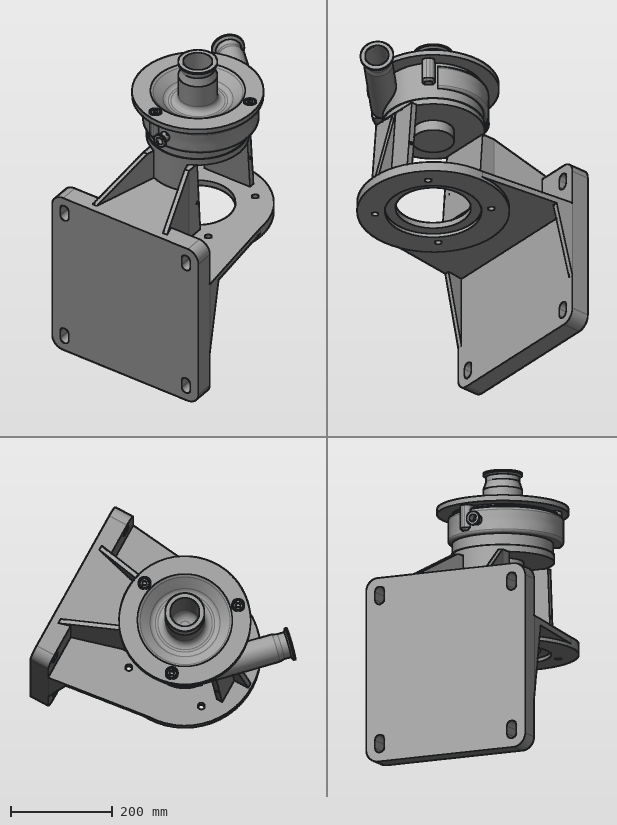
import cadquery as cq
import math


plate_width = 350.0
plate_height = 370.0
plate_back = -251.0
plate_thickness = 40.0
plate_corner_radius = 26.0
plate_front = plate_back + plate_thickness
slot_spacing_x = 290.5
slot_spacing_z = 298.5
slot_length = 35.5
slot_width = 20.0

shelf_top = 270.5
shelf_thickness = 13.0
ring_thickness = 8.0
ring_radius = 150.0
shelf_hole_radius = 74.5
ring_hole_radius = 95.0
motor_bolt_count = 4
motor_bolt_start_angle = 45.0
motor_bolt_circle_radius = 115.0
motor_bolt_radius = 7.0
shelf_bottom = shelf_top - shelf_thickness
ring_bottom = shelf_bottom - ring_thickness

lower_bracket_thickness = 10.5
lower_bracket_reach = 37.0
lower_bracket_bottom = 102.0

pedestal_top = 435.5
leg_width = 109.5
column_radius = 101.5
rear_leg_inner_bottom = -70.0
rear_leg_inner_top = -81.0
front_leg_inner_bottom = 101.5
front_leg_inner_top = 88.5
front_leg_thickness = 12.0
front_rib_thickness = 10.5
front_rib_foot = 145.0
gusset_start = -109.5
gusset_end = -235.0
gusset_spread = 34.5
gusset_thickness = 10.0
web_start = -83.5
screw_hole_radius = 3.0
screw_hole_depth = 12.0
screw_hole_z = 340.5
front_screw_y = 102.0
rear_screw_y = -80.0

base_radius = 101.5
base_top = 450.0
body_radius = 99.5
shaft_boss_radius = 41.0
shaft_boss_bottom = 413.0
flange_radius = 129.5
flange_bottom = 532.0
flange_top = 543.0

volute_bottom = 472.5
volute_top = 525.0
volute_step_top = 527.0
volute_step_inset = 6.0
volute_edge_fillet = 6.0
volute_start_angle = 145.0
volute_end_angle = 405.0
volute_curve_steps = 40
volute_start_radius = 103.0
volute_end_radius = 121.0
outlet_direction = 135.0
outlet_offset = 94.5
outlet_end = 190.0
outlet_z = 498.5
outlet_radius = 28.0
outlet_neck_radius = 26.0
outlet_neck_start = 168.5
outlet_cone_start = 158.0
outlet_bore_radius = 23.5
outlet_ferrule_radius = 32.5
ferrule_thickness = 3.5
ferrule_taper = 3.5

total_height = 614.5
inlet_radius = 39.0
inlet_neck_radius = 33.0
inlet_neck_bottom = 597.0
inlet_cone_bottom = 581.0
inlet_ferrule_radius = 39.0
inlet_bore_radius = 29.0
inlet_bore_bottom = 491.5
inlet_floor_radius = 10.5
bowl_rim_radius = 93.5
bowl_edge_radius = 88.5
bowl_edge_drop = 3.0
bowl_cone_radius = 69.0
bowl_cone_z = 524.0
bowl_arc_radius = 63.0
bowl_arc_z = 520.5
bowl_floor_outer_radius = 58.5
bowl_floor_inner_radius = 53.5
bowl_floor_z = 519.0
inlet_root_z = 533.0

screw_angles = (15.0, 135.0, 255.0)
screw_circle_radius = 109.5
screw_recess_radius = 12.0
screw_recess_depth = 6.0
screw_head_radius = 9.0
socket_radius = 5.0
lug_width = 24.5
lug_reach = 118.0
lug_bottom = 482.0
lug_fillet = 9.0
lug_chamfer = 5.0

drain_end = -132.0
drain_z = 499.5
drain_radius = 10.0
drain_bore_radius = 7.5
drain_bore_depth = 18.5
drain_rim_radius = 13.5
drain_rim_thickness = 4.0


def cylinder(radius, z_bottom, z_top):
    return cq.Workplane("XY").workplane(offset=z_bottom).circle(radius).extrude(z_top - z_bottom)


def side_profile(points, thickness):
    """Extrude a (Y, Z) outline symmetrically along X."""
    return cq.Workplane("YZ").polyline(points).close().extrude(thickness / 2, both=True)


def wall_plate():
    slots = (
        cq.Workplane("XZ", origin=(0, plate_front, plate_height / 2))
        .rarray(slot_spacing_x, slot_spacing_z, 2, 2)
        .slot2D(slot_length, slot_width, 90)
        .extrude(plate_thickness)
    )
    return (
        cq.Workplane("XZ", origin=(0, plate_front, plate_height / 2))
        .rect(plate_width, plate_height)
        .extrude(plate_thickness)
        .edges("|Y").fillet(plate_corner_radius)
        .cut(slots)
    )


def shelf():
    """Plate widening from the ring diameter to the full width of the wall plate."""
    plate = (
        cq.Workplane("XY").workplane(offset=shelf_bottom)
        .moveTo(-plate_width / 2, plate_front)
        .lineTo(plate_width / 2, plate_front)
        .lineTo(ring_radius, 0)
        .threePointArc((0, ring_radius), (-ring_radius, 0))
        .close()
        .extrude(shelf_thickness)
    )
    bolt_holes = (
        cq.Workplane("XY").workplane(offset=ring_bottom)
        .polarArray(motor_bolt_circle_radius, motor_bolt_start_angle, 360, motor_bolt_count)
        .circle(motor_bolt_radius)
        .extrude(shelf_top - ring_bottom)
    )
    return (
        plate.union(cylinder(ring_radius, ring_bottom, shelf_bottom))
        .cut(cylinder(ring_hole_radius, ring_bottom, shelf_bottom))
        .cut(cylinder(shelf_hole_radius, shelf_bottom, shelf_top))
        .cut(bolt_holes)
    )


def lower_brackets():
    """Triangular brackets whose outer faces are flush with the tapered shelf edges."""
    edge_slope = (plate_width / 2 - ring_radius) / plate_front
    outer_back = plate_width / 2
    outer_front = outer_back + edge_slope * lower_bracket_reach
    bracket_front = plate_front + lower_bracket_reach
    plan = [
        (outer_back, plate_front),
        (outer_front, bracket_front),
        (outer_front - lower_bracket_thickness, bracket_front),
        (outer_back - lower_bracket_thickness, plate_front),
    ]
    elevation = side_profile(
        [
            (plate_front, lower_bracket_bottom),
            (bracket_front, shelf_bottom),
            (plate_front, shelf_bottom),
        ],
        plate_width,
    )
    right = (
        cq.Workplane("XY").workplane(offset=lower_bracket_bottom)
        .polyline(plan).close()
        .extrude(shelf_bottom - lower_bracket_bottom)
        .intersect(elevation)
    )
    return right.union(right.mirror("YZ"))


def front_leg():
    leg = side_profile(
        [
            (front_leg_inner_bottom, shelf_top),
            (front_leg_inner_bottom + front_leg_thickness, shelf_top),
            (front_leg_inner_top + front_leg_thickness, pedestal_top),
            (front_leg_inner_top, pedestal_top),
        ],
        leg_width,
    )
    rib = side_profile(
        [
            (front_leg_inner_bottom, shelf_top),
            (front_rib_foot, shelf_top),
            (front_leg_inner_top + front_leg_thickness, pedestal_top),
            (front_leg_inner_top, pedestal_top),
        ],
        front_rib_thickness,
    )
    return leg.union(rib)


def rear_leg():
    """Segment of a round column, cut off by a sloping inner face."""
    block = side_profile(
        [
            (rear_leg_inner_bottom, shelf_top),
            (-column_radius, shelf_top),
            (-column_radius, pedestal_top),
            (rear_leg_inner_top, pedestal_top),
        ],
        leg_width,
    )
    return block.intersect(cylinder(column_radius, shelf_top, pedestal_top))


def gussets_and_web():
    """Two splayed gussets behind the rear leg with a solid web between them."""
    outer_start = leg_width / 2
    outer_end = outer_start + gusset_spread
    slope = gusset_spread / (gusset_start - gusset_end)
    inner_start = outer_start - gusset_thickness - slope * (web_start - gusset_start)
    inner_end = outer_end - gusset_thickness
    plan = [
        (outer_start, web_start),
        (outer_start, gusset_start),
        (outer_end, gusset_end),
        (inner_end, gusset_end),
        (inner_start, web_start),
    ]
    elevation = side_profile(
        [
            (web_start, shelf_top),
            (web_start, pedestal_top),
            (gusset_start, pedestal_top),
            (gusset_end, plate_height),
            (gusset_end, shelf_top),
        ],
        plate_width,
    )
    height = pedestal_top - shelf_top
    base = cq.Workplane("XY").workplane(offset=shelf_top)
    right = base.polyline(plan).close().extrude(height).intersect(elevation)
    web_plan = [
        (inner_start, web_start),
        (inner_end, gusset_end),
        (-inner_end, gusset_end),
        (-inner_start, web_start),
    ]
    web = base.polyline(web_plan).close().extrude(plate_height - shelf_top)
    return right.union(right.mirror("YZ")).union(web)


def leg_screw_holes():
    """Small blind holes in both side faces of both legs."""
    holes = cq.Workplane("XY")
    for side in (-1, 1):
        for y in (front_screw_y, rear_screw_y):
            hole = cq.Solid.makeCylinder(
                screw_hole_radius,
                screw_hole_depth,
                cq.Vector(side * leg_width / 2, y, screw_hole_z),
                cq.Vector(-side, 0, 0),
            )
            holes = holes.add(hole)
    return holes.combine()


def spiral_disc(inset, z_bottom, z_top):
    """Spiral sector whose radius grows steadily around the pump axis."""
    sweep = math.radians(volute_end_angle - volute_start_angle)
    start = math.radians(volute_start_angle)
    growth = volute_end_radius - volute_start_radius

    def spiral(t):
        radius = volute_start_radius - inset + t * growth
        angle = start + t * sweep
        return (radius * math.cos(angle), radius * math.sin(angle))

    return (
        cq.Workplane("XY").workplane(offset=z_bottom)
        .parametricCurve(spiral, N=volute_curve_steps, makeWire=False)
        .lineTo(0, 0)
        .close()
        .extrude(z_top - z_bottom)
    )


def volute():
    """Spiral casing with rounded rims and a thin raised step on top, open inside for the bowl."""
    casing = (
        spiral_disc(0, volute_bottom, volute_top)
        .faces("<Z or >Z").edges("%BSPLINE").fillet(volute_edge_fillet)
    )
    step = spiral_disc(volute_step_inset, volute_top, volute_step_top)
    return casing.union(step).cut(cylinder(bowl_rim_radius, volute_bottom, volute_step_top))


def revolve_about_outlet(profile_points):
    """Revolve an (axial, radial) outline about the outlet axis."""
    angle = math.radians(outlet_direction)
    axis = cq.Vector(math.cos(angle), math.sin(angle), 0)
    across = cq.Vector(math.sin(angle), -math.cos(angle), 0)
    origin = across * outlet_offset + cq.Vector(0, 0, outlet_z)
    plane = cq.Plane(origin=origin, xDir=axis, normal=across)
    return cq.Workplane(plane).polyline(profile_points).close().revolve(360, (0, 0), (1, 0))


def outlet_pipe():
    return revolve_about_outlet(
        [
            (0, 0),
            (0, outlet_radius),
            (outlet_cone_start, outlet_radius),
            (outlet_neck_start, outlet_neck_radius),
            (outlet_end - ferrule_thickness - ferrule_taper, outlet_neck_radius),
            (outlet_end - ferrule_thickness, outlet_ferrule_radius),
            (outlet_end, outlet_ferrule_radius),
            (outlet_end, 0),
        ]
    )


def outlet_bore():
    return revolve_about_outlet(
        [(0, 0), (0, outlet_bore_radius), (outlet_end, outlet_bore_radius), (outlet_end, 0)]
    )


def flange_and_inlet():
    """Top flange, bowl and inlet tube as one revolved outline."""
    arc_inset = 1 - math.sqrt(0.5)
    root_arc_x = inlet_radius + (bowl_floor_inner_radius - inlet_radius) * arc_inset
    root_arc_z = bowl_floor_z + (inlet_root_z - bowl_floor_z) * arc_inset
    ferrule_bottom = total_height - ferrule_thickness
    return (
        cq.Workplane("XZ")
        .moveTo(0, volute_bottom)
        .lineTo(body_radius, volute_bottom)
        .lineTo(body_radius, flange_bottom)
        .lineTo(flange_radius, flange_bottom)
        .lineTo(flange_radius, flange_top)
        .lineTo(bowl_rim_radius, flange_top)
        .lineTo(bowl_edge_radius, flange_top - bowl_edge_drop)
        .lineTo(bowl_cone_radius, bowl_cone_z)
        .threePointArc((bowl_arc_radius, bowl_arc_z), (bowl_floor_outer_radius, bowl_floor_z))
        .lineTo(bowl_floor_inner_radius, bowl_floor_z)
        .threePointArc((root_arc_x, root_arc_z), (inlet_radius, inlet_root_z))
        .lineTo(inlet_radius, inlet_cone_bottom)
        .lineTo(inlet_neck_radius, inlet_neck_bottom)
        .lineTo(inlet_neck_radius, ferrule_bottom - ferrule_taper)
        .lineTo(inlet_ferrule_radius, ferrule_bottom)
        .lineTo(inlet_ferrule_radius, total_height)
        .lineTo(0, total_height)
        .close()
        .revolve(360, (0, 0), (0, 1))
    )


def inlet_bore():
    """Blind inlet bore with a rounded bottom edge around a small flat floor."""
    return (
        cylinder(inlet_bore_radius, inlet_bore_bottom, total_height)
        .faces("<Z").edges().fillet(inlet_bore_radius - inlet_floor_radius)
    )


def lug(angle):
    return (
        cq.Workplane("XY").workplane(offset=lug_bottom)
        .center(lug_reach / 2, 0)
        .rect(lug_reach, lug_width)
        .extrude(flange_bottom - lug_bottom)
        .edges(">X and |Z").fillet(lug_fillet)
        .faces("<Z").edges(">X").chamfer(lug_chamfer)
        .cut(cylinder(bowl_rim_radius, lug_bottom, flange_bottom))
        .rotate((0, 0, 0), (0, 0, 1), angle)
    )


def flange_screw_cut(angle):
    """Ring gap around a flush screw head, plus its hexagon socket."""
    recess_floor = cq.Workplane("XY", origin=(screw_circle_radius, 0, flange_top - screw_recess_depth))
    gap = (
        recess_floor.circle(screw_recess_radius)
        .circle(screw_head_radius)
        .extrude(screw_recess_depth)
    )
    socket = recess_floor.polygon(6, 2 * socket_radius).extrude(screw_recess_depth)
    return gap.union(socket).rotate((0, 0, 0), (0, 0, 1), angle)


def drain_fitting():
    tube = cq.Workplane("XZ", origin=(0, 0, drain_z)).workplane(offset=base_radius)
    length = -drain_end - base_radius
    rim = (
        cq.Workplane("XZ", origin=(0, drain_end + drain_rim_thickness, drain_z))
        .circle(drain_rim_radius)
        .extrude(drain_rim_thickness)
    )
    bore = (
        cq.Workplane("XZ", origin=(0, drain_end + drain_bore_depth, drain_z))
        .circle(drain_bore_radius)
        .extrude(drain_bore_depth)
    )
    return tube.circle(drain_radius).extrude(length).union(rim).cut(bore)


bracket = (
    wall_plate()
    .union(shelf())
    .union(lower_brackets())
    .union(front_leg())
    .union(rear_leg())
    .union(gussets_and_web())
    .cut(leg_screw_holes())
)

pump = (
    cylinder(base_radius, pedestal_top, base_top)
    .union(cylinder(body_radius, base_top, volute_bottom))
    .union(cylinder(shaft_boss_radius, shaft_boss_bottom, pedestal_top))
    .union(flange_and_inlet())
    .union(outlet_pipe())
)
pump = pump.union(volute())
for screw_angle in screw_angles:
    pump = pump.union(lug(screw_angle)).cut(flange_screw_cut(screw_angle))
pump = pump.cut(outlet_bore()).cut(inlet_bore()).union(drain_fitting())

result = bracket.union(pump)